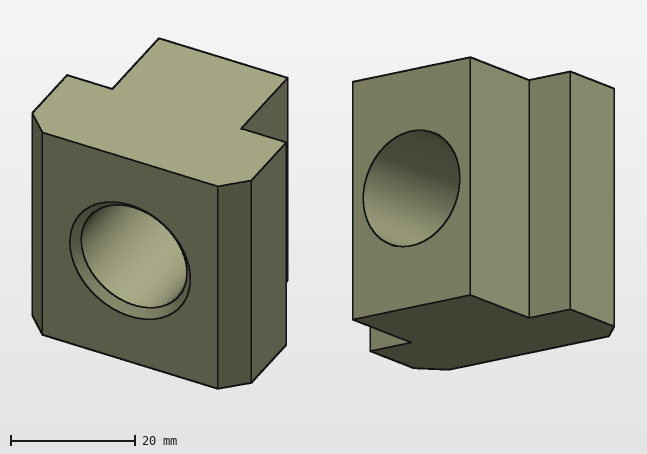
import cadquery as cq

head_width = 40.0
height = 40.0
head_depth = 16.0
total_depth = 32.0
neck_width = 23.5
edge_chamfer = 4.0

bore_diameter = 19.3
countersink_diameter = 22.0
countersink_depth = (countersink_diameter - bore_diameter) / 2


def make_body():
    """T-shaped prism with its two front vertical edges chamfered."""
    head = (
        cq.Workplane("XY")
        .box(head_width, head_depth, height, centered=(True, False, True))
        .edges("|Z and <Y")
        .chamfer(edge_chamfer)
    )
    neck = cq.Workplane("XY").box(neck_width, total_depth, height, centered=(True, False, True))
    return head.union(neck)


def make_bore():
    """Through bore with a conical countersink on the head face."""
    bore_radius = bore_diameter / 2
    along_y = cq.Vector(0, 1, 0)
    origin = cq.Vector(0, 0, 0)
    bore = cq.Solid.makeCylinder(bore_radius, total_depth, origin, along_y)
    countersink = cq.Solid.makeCone(
        countersink_diameter / 2, bore_radius, countersink_depth, origin, along_y
    )
    return cq.Workplane(bore).union(cq.Workplane(countersink))


result = make_body().cut(make_bore())